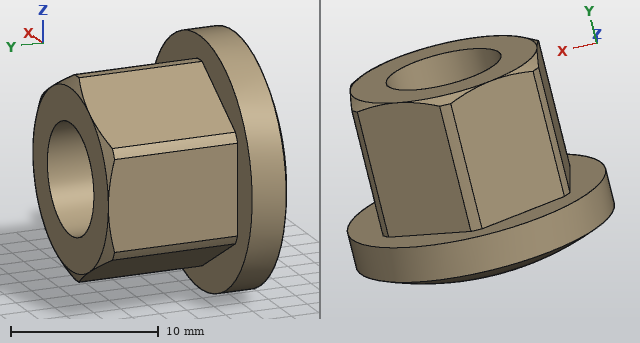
import cadquery as cq
import math

flange_diameter = 18.0
flange_thickness = 2.5
dome_height = 1.67
dome_radius = 20.0
hex_length = 9.5
hex_across_flats = 13.0
hex_corner_diameter = 14.58
hex_chamfer_angle = 30.0
bore_diameter = 8.0
bore_mouth_diameter = 8.5

flange_radius = flange_diameter / 2
flat_distance = hex_across_flats / 2
corner_radius = hex_corner_diameter / 2
bore_radius = bore_diameter / 2
mouth_radius = bore_mouth_diameter / 2
hex_chamfer_height = (corner_radius - flat_distance) * math.tan(math.radians(hex_chamfer_angle))
mouth_depth = mouth_radius - bore_radius

dome_base_y = -flange_thickness
front_y = dome_base_y - dome_height
hex_end_y = hex_length


def revolve_about_y(profile):
    """Close an XY profile and turn it around the Y axis."""
    return profile.close().revolve(360, (0, 0, 0), (0, 1, 0))


def make_flange():
    """Round flange whose front is a shallow spherical dome."""
    dome_face = (
        cq.Workplane("XY")
        .moveTo(0, 0)
        .lineTo(flange_radius, 0)
        .lineTo(flange_radius, dome_base_y)
        .radiusArc((mouth_radius, front_y), dome_radius)
        .lineTo(0, front_y)
    )
    return revolve_about_y(dome_face)


def make_hexagon():
    """Hexagon with two corners on the Z axis, turned corners and a chamfered end."""
    prism = (
        cq.Workplane("XZ")
        .polygon(6, hex_across_flats, circumscribed=True)
        .extrude(-hex_length)
    )
    turned_envelope = revolve_about_y(
        cq.Workplane("XY")
        .moveTo(0, 0)
        .lineTo(corner_radius, 0)
        .lineTo(corner_radius, hex_end_y - hex_chamfer_height)
        .lineTo(flat_distance, hex_end_y)
        .lineTo(0, hex_end_y)
    )
    return prism.intersect(turned_envelope)


def make_bore():
    """Through bore with a chamfered mouth at the dome."""
    return revolve_about_y(
        cq.Workplane("XY")
        .moveTo(0, front_y)
        .lineTo(mouth_radius, front_y)
        .lineTo(bore_radius, front_y + mouth_depth)
        .lineTo(bore_radius, hex_end_y)
        .lineTo(0, hex_end_y)
    )


result = make_flange().union(make_hexagon()).cut(make_bore())